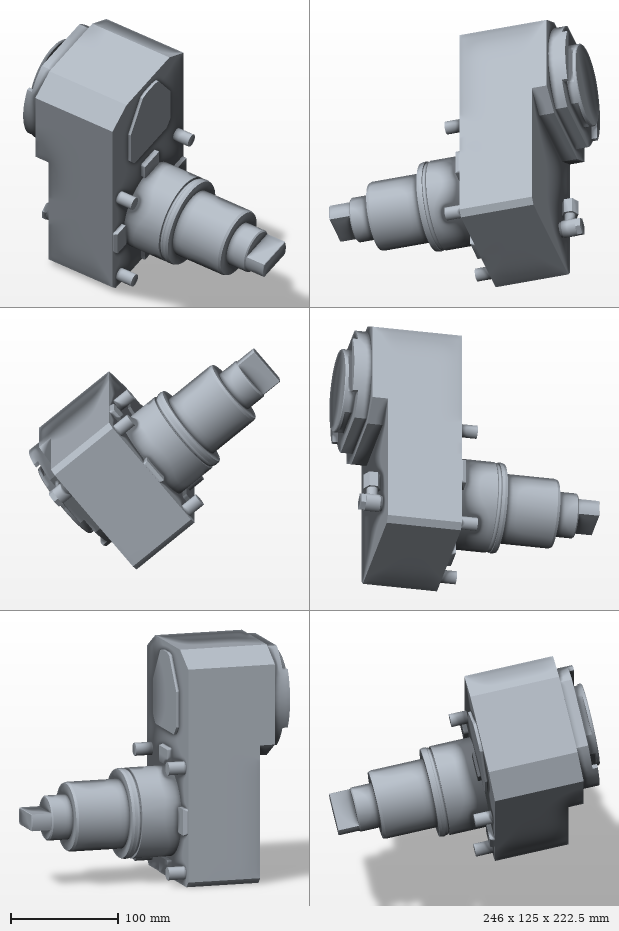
import cadquery as cq
import math


HOUSING_WIDTH = 125.0
HOUSING_BOTTOM = -62.5
HOUSING_HEIGHT = 222.5
HOUSING_TOP = HOUSING_BOTTOM + HOUSING_HEIGHT
LOWER_DEPTH = 70.5
HEAD_DEPTH = 85.0
HEAD_AXIS_Z = 110.0
HEAD_DROP = 55.0
SHOULDER_RUN = 24.8
SHOULDER_ANGLE = 30
SHOULDER_RISE = SHOULDER_RUN * math.tan(math.radians(SHOULDER_ANGLE))
BOTTOM_CHAMFER = 5.5

FLANGE_RADIUS = 57.5
FLANGE_THICKNESS = 11.3
FLANGE_FLAT = 47.2
LUG_HEIGHT = 5.2
LUG_INNER = 46.7
LUG_LENGTH = 55.5
NOSE_RADIUS = 39.0
NOSE_FLAT = 34.0
NOSE_FRONT = -106.3
NOSE_DISC_THICKNESS = 3.2
NOSE_CHAMFER = 0.7

COVER_RADIUS = 42.5
COVER_THICKNESS = 3.0
COVER_HALF_WIDTH = 35.0
COVER_TOP = 42.0
COVER_BOTTOM = -32.2
COVER_SLANT_INNER = 13.8
COVER_SLANT_END = 9.5

PILOT_RADIUS = 42.5
PILOT_END = 38.4
GROOVE_RADIUS = 39.9
GROOVE_END = 42.5
RING_RADIUS = 2.0
RING_START = 39.0
COLLAR_END = 48.0
COLLAR_CHAMFER_LENGTH = 2.5
COLLAR_CHAMFER_DEPTH = 0.7
SLEEVE_RADIUS = 32.7
SLEEVE_END = 99.9
SLEEVE_CHAMFER_LENGTH = 2.5
SLEEVE_CHAMFER_DEPTH = 1.0
NECK_RADIUS = 21.2
NECK_END = 120.0
NECK_CHAMFER = 1.2
TANG_RADIUS = 20.0
TANG_THICKNESS = 16.0
TANG_END = 139.7
TANG_CHAMFER = 0.5

STUD_OFFSET = 50.0
STUD_RADIUS = 6.2
STUD_LENGTH = 16.5
KEY_INNER = 45.0
KEY_OUTER = 61.7
KEY_WIDTH = 24.8
KEY_HEIGHT = 4.5
KEY_CORNER = 2.2
KEY_BEVEL_START = 1.2
KEY_BEVEL_DEPTH = 1.5
KEY_ANGLES = (0, 90, 180, 270)

HEX_SIDES = 6
ELBOW_Y = -33.0
ELBOW_Z = -27.8
ELBOW_RADIUS = 8.0
ELBOW_REAR = -72.3
ELBOW_CHAMFER = 0.7
ELBOW_SPIGOT_RADIUS = 7.1
CAP_CORNER_RADIUS = 8.5
CAP_FRONT = -91.5
CAP_THICKNESS = 4.7
BRANCH_X = -79.7
BRANCH_RADIUS = 5.5
NUT_CORNER_RADIUS = 8.0
NUT_BOTTOM = -13.3
NUT_HEIGHT = 15.0
NUT_BORE_RADIUS = 3.0


def yz_plane(x):
    """Sketch plane across the shaft at x: local x is Y, local y is Z, normal +X."""
    return cq.Workplane("YZ", origin=(x, 0, 0))


def disc(x_start, x_end, radius, y=0, z=0):
    return yz_plane(x_start).center(y, z).circle(radius).extrude(x_end - x_start)


def box(x_range, y_range, z_range):
    ranges = (x_range, y_range, z_range)
    sizes = [high - low for low, high in ranges]
    corner = tuple(low for low, high in ranges)
    return cq.Workplane("XY").box(*sizes, centered=False).translate(corner)


def housing():
    half = HOUSING_WIDTH / 2
    shoulder = half - SHOULDER_RUN
    foot = half - BOTTOM_CHAMFER
    head_bottom = HEAD_AXIS_Z - HEAD_DROP
    top_outline = [
        (half, HOUSING_TOP - SHOULDER_RISE),
        (shoulder, HOUSING_TOP),
        (-shoulder, HOUSING_TOP),
        (-half, HOUSING_TOP - SHOULDER_RISE),
    ]
    foot_outline = [
        (-half, HOUSING_BOTTOM + BOTTOM_CHAMFER),
        (-foot, HOUSING_BOTTOM),
        (foot, HOUSING_BOTTOM),
        (half, HOUSING_BOTTOM + BOTTOM_CHAMFER),
    ]
    head_outline = [
        (-half, head_bottom + SHOULDER_RISE),
        (-shoulder, head_bottom),
        (shoulder, head_bottom),
        (half, head_bottom + SHOULDER_RISE),
    ]
    lower = yz_plane(-LOWER_DEPTH).polyline(top_outline + foot_outline).close().extrude(LOWER_DEPTH)
    head = yz_plane(-HEAD_DEPTH).polyline(top_outline + head_outline).close().extrude(HEAD_DEPTH)
    return lower.union(head)


def output_head():
    flange_front = -HEAD_DEPTH - FLANGE_THICKNESS
    lug_front = flange_front - LUG_HEIGHT
    disc_rear = NOSE_FRONT + NOSE_DISC_THICKNESS
    rim = (-FLANGE_RADIUS, FLANGE_RADIUS)

    flange = disc(flange_front, -HEAD_DEPTH, FLANGE_RADIUS, z=HEAD_AXIS_Z)
    flange = flange.intersect(
        box(
            (flange_front, -HEAD_DEPTH),
            rim,
            (HEAD_AXIS_Z - FLANGE_FLAT, HEAD_AXIS_Z + FLANGE_FLAT),
        )
    )

    lug_height_range = (HEAD_AXIS_Z - LUG_LENGTH / 2, HEAD_AXIS_Z + LUG_LENGTH / 2)
    lugs = disc(lug_front, flange_front, FLANGE_RADIUS, z=HEAD_AXIS_Z)
    lugs = lugs.intersect(box((lug_front, flange_front), rim, lug_height_range))
    lugs = lugs.cut(box((lug_front, flange_front), (-LUG_INNER, LUG_INNER), lug_height_range))

    nose_disc = disc(NOSE_FRONT, disc_rear, NOSE_RADIUS, z=HEAD_AXIS_Z)
    nose_disc = nose_disc.faces("<X").chamfer(NOSE_CHAMFER)
    nose_neck = disc(disc_rear, flange_front, NOSE_RADIUS, z=HEAD_AXIS_Z)
    nose_neck = nose_neck.intersect(
        box(
            (disc_rear, flange_front),
            (-NOSE_FLAT, NOSE_FLAT),
            (HEAD_AXIS_Z - NOSE_FLAT, HEAD_AXIS_Z + NOSE_FLAT),
        )
    )
    return flange.union(lugs).union(nose_neck).union(nose_disc)


def rear_cover():
    """Round cover trimmed by flats at the top, bottom, sides and two slanted upper corners."""
    slant_top = math.sqrt(COVER_RADIUS**2 - COVER_SLANT_INNER**2)
    trim = (
        yz_plane(0)
        .center(0, HEAD_AXIS_Z)
        .polyline([
            (-COVER_HALF_WIDTH, COVER_BOTTOM),
            (COVER_HALF_WIDTH, COVER_BOTTOM),
            (COVER_HALF_WIDTH, COVER_SLANT_END),
            (COVER_SLANT_INNER, slant_top),
            (COVER_SLANT_INNER, COVER_TOP),
            (-COVER_SLANT_INNER, COVER_TOP),
            (-COVER_SLANT_INNER, slant_top),
            (-COVER_HALF_WIDTH, COVER_SLANT_END),
        ])
        .close()
        .extrude(COVER_THICKNESS)
    )
    return disc(0, COVER_THICKNESS, COVER_RADIUS, z=HEAD_AXIS_Z).intersect(trim)


def drive_shaft():
    ring_middle = RING_START + RING_RADIUS
    ring_wall_radius = GROOVE_RADIUS + math.sqrt(RING_RADIUS**2 - (GROOVE_END - ring_middle) ** 2)
    turned = (
        cq.Workplane("XY")
        .moveTo(0, 0)
        .lineTo(0, PILOT_RADIUS)
        .lineTo(PILOT_END, PILOT_RADIUS)
        .lineTo(PILOT_END, GROOVE_RADIUS)
        .lineTo(RING_START, GROOVE_RADIUS)
        .threePointArc((ring_middle, GROOVE_RADIUS + RING_RADIUS), (GROOVE_END, ring_wall_radius))
        .lineTo(GROOVE_END, PILOT_RADIUS)
        .lineTo(COLLAR_END - COLLAR_CHAMFER_LENGTH, PILOT_RADIUS)
        .lineTo(COLLAR_END, PILOT_RADIUS - COLLAR_CHAMFER_DEPTH)
        .lineTo(COLLAR_END, SLEEVE_RADIUS)
        .lineTo(SLEEVE_END - SLEEVE_CHAMFER_LENGTH, SLEEVE_RADIUS)
        .lineTo(SLEEVE_END, SLEEVE_RADIUS - SLEEVE_CHAMFER_DEPTH)
        .lineTo(SLEEVE_END, NECK_RADIUS)
        .lineTo(NECK_END - NECK_CHAMFER, NECK_RADIUS)
        .lineTo(NECK_END, NECK_RADIUS - NECK_CHAMFER)
        .lineTo(NECK_END, 0)
        .close()
        .revolve(360, (0, 0, 0), (1, 0, 0))
    )
    tang = disc(NECK_END, TANG_END, TANG_RADIUS).intersect(
        box(
            (NECK_END, TANG_END),
            (-TANG_RADIUS, TANG_RADIUS),
            (-TANG_THICKNESS / 2, TANG_THICKNESS / 2),
        )
    )
    return turned.union(tang.faces(">X").chamfer(TANG_CHAMFER))


def studs():
    square_side = 2 * STUD_OFFSET
    return (
        yz_plane(0)
        .rect(square_side, square_side, forConstruction=True)
        .vertices()
        .circle(STUD_RADIUS)
        .extrude(STUD_LENGTH)
    )


def locating_key(angle):
    """Key on the rear face with a bevelled outer side, turned about the shaft axis."""
    side_profile = [
        (0, KEY_INNER),
        (0, KEY_OUTER),
        (KEY_BEVEL_START, KEY_OUTER),
        (KEY_HEIGHT, KEY_OUTER - KEY_BEVEL_DEPTH),
        (KEY_HEIGHT, KEY_INNER),
    ]
    key = cq.Workplane("XZ").polyline(side_profile).close().extrude(KEY_WIDTH / 2, both=True)
    rounded = box((0, KEY_HEIGHT), (-KEY_WIDTH / 2, KEY_WIDTH / 2), (KEY_INNER, KEY_OUTER))
    rounded = rounded.edges("|X").fillet(KEY_CORNER)
    return key.intersect(rounded).rotate((0, 0, 0), (1, 0, 0), angle)


def coolant_elbow():
    cap_rear = CAP_FRONT + CAP_THICKNESS
    body = disc(cap_rear, ELBOW_REAR, ELBOW_RADIUS, ELBOW_Y, ELBOW_Z)
    body = body.faces(">X").chamfer(ELBOW_CHAMFER)
    spigot = disc(ELBOW_REAR, -LOWER_DEPTH, ELBOW_SPIGOT_RADIUS, ELBOW_Y, ELBOW_Z)
    cap = (
        cq.Workplane("YZ", origin=(CAP_FRONT, ELBOW_Y, ELBOW_Z))
        .transformed(rotate=(0, 0, 180 / HEX_SIDES))
        .polygon(HEX_SIDES, 2 * CAP_CORNER_RADIUS)
        .extrude(CAP_THICKNESS)
    )
    branch = (
        cq.Workplane("XY", origin=(BRANCH_X, ELBOW_Y, ELBOW_Z))
        .circle(BRANCH_RADIUS)
        .extrude(NUT_BOTTOM - ELBOW_Z)
    )
    nut = (
        cq.Workplane("XY", origin=(BRANCH_X, ELBOW_Y, NUT_BOTTOM))
        .polygon(HEX_SIDES, 2 * NUT_CORNER_RADIUS)
        .circle(NUT_BORE_RADIUS)
        .extrude(NUT_HEIGHT)
    )
    return body.union(spigot).union(cap).union(branch).union(nut)


result = (
    housing()
    .union(output_head())
    .union(rear_cover())
    .union(drive_shaft())
    .union(studs())
    .union(coolant_elbow())
)
for key_angle in KEY_ANGLES:
    result = result.union(locating_key(key_angle))